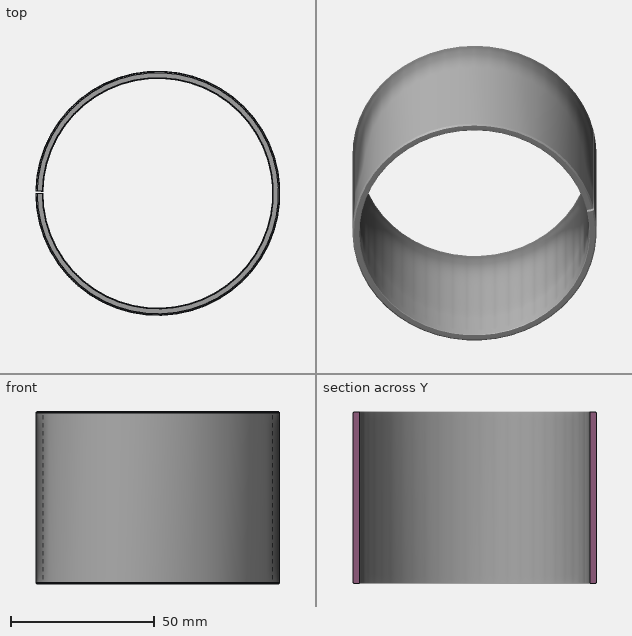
import cadquery as cq

outer_diameter = 85.0
wall = 2.5
height = 60.0
slit_angle = 1.0
outer_chamfer = 0.5
inner_chamfer = 0.2

outer_radius = outer_diameter / 2
inner_radius = outer_radius - wall
half_height = height / 2


def wall_section():
    """Wall cross-section on the -X side, with its four corners bevelled."""
    return (
        cq.Workplane("XZ")
        .moveTo(-inner_radius - inner_chamfer, -half_height)
        .lineTo(-outer_radius + outer_chamfer, -half_height)
        .lineTo(-outer_radius, -half_height + outer_chamfer)
        .lineTo(-outer_radius, half_height - outer_chamfer)
        .lineTo(-outer_radius + outer_chamfer, half_height)
        .lineTo(-inner_radius - inner_chamfer, half_height)
        .lineTo(-inner_radius, half_height - inner_chamfer)
        .lineTo(-inner_radius, -half_height + inner_chamfer)
        .close()
    )


result = wall_section().revolve(360 - slit_angle, (0, 0, 0), (0, 1, 0))